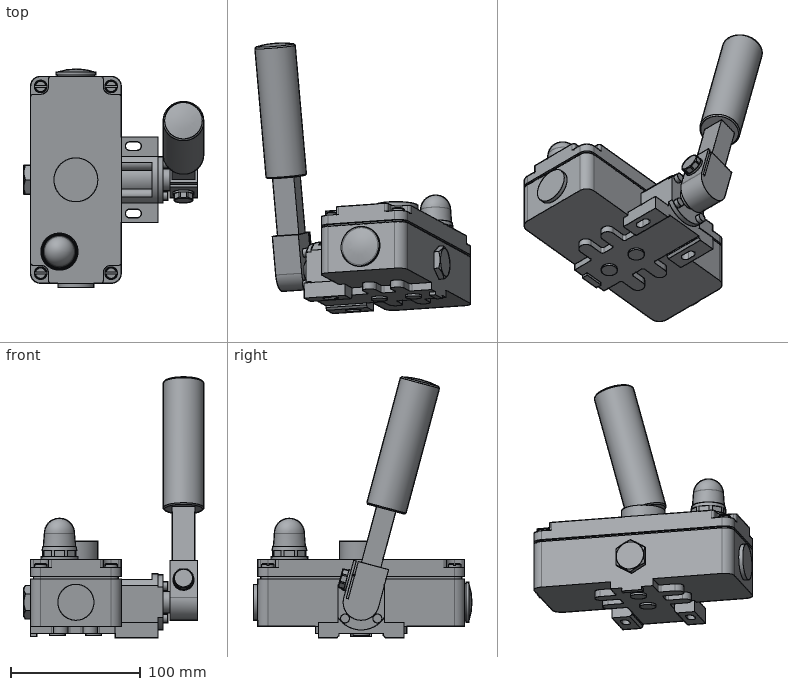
import cadquery as cq
import math

BOX_X = 70.2
BOX_Y = 159.9
CORNER_R = 7.9
BODY_H = 36.7
SEAM_H = 1.6
SEAM_INSET = 2.2
LID_H = 13.3
LID_BASE = BODY_H + SEAM_H
LID_TOP = LID_BASE + LID_H

POCKET_DEPTH = 6.2
POCKET_SIZE = 14.0
POCKET_INNER_R = 6.0
POCKET_FLARE_R = 2.2
SCREW_R = 4.8
SCREW_H = 3.0
SCREW_CHAMFER = 0.8
SCREW_SLOT_W = 1.6
SCREW_SLOT_DEPTH = 1.5

BUTTON_R = 17.0
BUTTON_H = 14.1
LAMP_X = -12.7
LAMP_Y = -55.5
LAMP_FLANGE_R = 14.3
LAMP_FLANGE_H = 2.2
LAMP_NUT_R = 13.5
LAMP_NUT_FLAT = 13.0
LAMP_NUT_H = 4.6
LAMP_COLLAR_H = 3.0
LAMP_COLLAR_TOP_R = 13.0
LENS_BASE_R = 12.5
LENS_TOP_R = 11.7
LENS_H = 10.3

AXIS_Z = 18.5
PLUG_R = 14.0
PLUG_H = 3.2
GLAND_NECK_R = 14.5
GLAND_NECK_H = 1.0
GLAND_R = 15.5
GLAND_RIM_H = 2.2
GLAND_DOME_H = 2.5
GLAND_DOME_R = 14.5
HEX_FLATS = 22.5
HEX_H = 5.2
HEX_CHAMFER = 1.5
HEX_FACE_R = 10.9

WEB_HALF_Y = 17.0
WEB_DEPTH = 5.6
KEY_HALF_Y = 8.0
KEY_LENGTH = 5.0
KEY_DEPTH = 8.0
LUG_XS = (-11.7, 11.0)
LUG_R = 5.5
LUG_REACH = 35.3
LUG_ROOT_R = 1.8
NUB_XS = (-14.3, 13.7)
NUB_R = 6.2
NUB_DEPTH = 7.3
FOOT_X0 = 30.2
FOOT_X1 = 63.5
FOOT_HALF_Y = 33.0
FOOT_TOP = 3.0
FOOT_DEPTH = 8.9
FOOT_CHAMFER = 1.8
SLOT_X = 44.3
SLOT_Y = 26.0
SLOT_LENGTH = 12.0
SLOT_W = 6.5

HOUSING_R = 22.2
HOUSING_HALF_Y = 18.0
WINDOW_HALF_Y = 14.0
WINDOW_END_X = 58.7
CORE_R = 14.5
BOSS_R = 5.2
COVER_R = 21.4
COVER_T = 3.8
HUB_R = 8.5
BOLT_R = 3.5
BOLT_H = 3.6
BOLT_OFFSET = 12.5
COVER_X1 = FOOT_X1 + COVER_T

TILT = 15.0
CLAMP_X0 = 72.5
CLAMP_X1 = 94.0
CLAMP_R = 14.0
CLAMP_H = 29.8
SLIT_W = 1.6
SLIT_Y = -11.0
LEVER_X = 83.0
LEVER_W = 17.5
LEVER_T = 15.5
GRIP_R = 15.7
GRIP_BASE = 74.4
GRIP_EDGE = 175.2
GRIP_BOTTOM_CHAMFER = 1.0
GRIP_TOP_CHAMFER = 1.2
GRIP_CROWN = 1.6
CLAMP_BOLT_H = 14.0
WASHER_R = 8.0
WASHER_T = 1.6
CLAMP_BOLT_R = 7.9
CLAMP_BOLT_FLAT = 7.5
CLAMP_BOLT_T = 4.8
CLAMP_BOLT_CHAMFER = 0.8


def block(x0, x1, y0, y1, z0, z1):
    return cq.Workplane("XY").box(x1 - x0, y1 - y0, z1 - z0, centered=False).translate((x0, y0, z0))


def cylinder_z(x, y, z, radius, height):
    return cq.Workplane("XY").center(x, y).circle(radius).extrude(height).translate((0, 0, z))


def cylinder_x(x, y, z, radius, length):
    return cq.Workplane("YZ").center(y, z).circle(radius).extrude(length).translate((x, 0, 0))


def rounded_box(inset, z, height):
    box = cq.Workplane("XY").rect(BOX_X - 2 * inset, BOX_Y - 2 * inset).extrude(height)
    return box.edges("|Z").fillet(CORNER_R - inset).translate((0, 0, z))


def octagon_nut(flat, radius, height):
    """Octagonal prism standing on Z = 0 whose corners are turned down to a cylinder."""
    prism = cq.Workplane("XY").polygon(8, 2 * flat, circumscribed=True).extrude(height)
    return prism.intersect(cylinder_z(0, 0, 0, radius, height))


def lid():
    """Lid with the four corners cut down to pockets that leave room for the screws."""
    floor = LID_TOP - POCKET_DEPTH
    in_x = BOX_X / 2 - POCKET_SIZE
    in_y = BOX_Y / 2 - POCKET_SIZE
    cross = cq.Workplane("XY").rect(BOX_X, 2 * in_y).extrude(POCKET_DEPTH)
    cross = cross.union(cq.Workplane("XY").rect(2 * in_x, BOX_Y).extrude(POCKET_DEPTH))
    inner_corners = cq.selectors.BoxSelector((-in_x - 2, -in_y - 2, -2), (in_x + 2, in_y + 2, LID_H))
    cross = cross.edges("|Z").edges("<Y or >Y or <X or >X").fillet(POCKET_FLARE_R)
    cross = cross.edges("|Z").edges(inner_corners).fillet(POCKET_INNER_R)
    return rounded_box(0, LID_BASE, floor - LID_BASE).union(cross.translate((0, 0, floor)))


def lid_screws():
    """One slotted screw head in each lid pocket, concentric with the box corner."""
    head = cylinder_z(0, 0, 0, SCREW_R, SCREW_H).faces(">Z").chamfer(SCREW_CHAMFER)
    slot = block(-SCREW_R, SCREW_R, -SCREW_SLOT_W / 2, SCREW_SLOT_W / 2, SCREW_H - SCREW_SLOT_DEPTH, SCREW_H)
    head = head.cut(slot)
    heads = cq.Workplane("XY")
    for x in (CORNER_R - BOX_X / 2, BOX_X / 2 - CORNER_R):
        for y in (CORNER_R - BOX_Y / 2, BOX_Y / 2 - CORNER_R):
            heads = heads.union(head.translate((x, y, LID_TOP - POCKET_DEPTH)))
    return heads


def lamp():
    """Signal lamp: flange, octagonal nut, tapered collar and a domed lens."""
    nut_base = LAMP_FLANGE_H
    collar_base = nut_base + LAMP_NUT_H
    lens_base = collar_base + LAMP_COLLAR_H
    dome_base = lens_base + LENS_H
    turned = (
        cq.Workplane("XZ")
        .lineTo(LAMP_FLANGE_R, 0)
        .lineTo(LAMP_FLANGE_R, nut_base)
        .lineTo(LENS_TOP_R, nut_base)
        .lineTo(LENS_TOP_R, collar_base)
        .lineTo(LAMP_NUT_R, collar_base)
        .lineTo(LAMP_COLLAR_TOP_R, lens_base)
        .lineTo(LENS_BASE_R, lens_base)
        .lineTo(LENS_TOP_R, dome_base)
        .radiusArc((0, dome_base + LENS_TOP_R), -LENS_TOP_R)
        .close()
        .revolve(360, (0, 0), (0, 1))
    )
    nut = octagon_nut(LAMP_NUT_FLAT, LAMP_NUT_R, LAMP_NUT_H).translate((0, 0, nut_base))
    return turned.union(nut).translate((LAMP_X, LAMP_Y, LID_TOP))


def enclosure():
    """Body, recessed seam, lid and the button."""
    box = rounded_box(0, 0, BODY_H).union(rounded_box(SEAM_INSET, BODY_H, SEAM_H))
    return box.union(lid()).union(lid_screws()).union(cylinder_z(0, 0, LID_TOP, BUTTON_R, BUTTON_H))


def blanking_plug():
    """Plain round plug on the -Y wall."""
    disc = cq.Workplane("XZ").circle(PLUG_R).extrude(PLUG_H)
    return disc.translate((0, -BOX_Y / 2, AXIS_Z))


def gland():
    """Necked disc with a shallow domed cap on the +Y wall."""
    rim_top = GLAND_NECK_H + GLAND_RIM_H
    top = rim_top + GLAND_DOME_H
    dome_radius = (GLAND_DOME_R**2 + GLAND_DOME_H**2) / (2 * GLAND_DOME_H)
    return (
        cq.Workplane("XY")
        .lineTo(GLAND_NECK_R, 0)
        .lineTo(GLAND_NECK_R, GLAND_NECK_H)
        .lineTo(GLAND_R, GLAND_NECK_H)
        .lineTo(GLAND_R, rim_top)
        .lineTo(GLAND_DOME_R, rim_top)
        .radiusArc((0, top), -dome_radius)
        .close()
        .revolve(360, (0, 0), (0, 1))
        .translate((0, BOX_Y / 2, AXIS_Z))
    )


def hex_plug():
    """Hexagon head on the -X wall, points up, with its outer corners turned off."""
    points_r = HEX_FLATS / math.sqrt(3)
    head = cq.Workplane("XY").polygon(6, 2 * points_r).extrude(HEX_H)
    turned = cylinder_z(0, 0, 0, points_r, HEX_H).faces(">Z").chamfer(HEX_CHAMFER, points_r - HEX_FACE_R)
    head = head.intersect(turned).rotate((0, 0, 0), (0, 1, 0), -90)
    return head.translate((-BOX_X / 2, 0, AXIS_Z))


def bottom_web():
    """Web under the box with a key at its -X end, round nubs and screw lugs on both sides."""
    left = -BOX_X / 2
    web = block(left, FOOT_X1, -WEB_HALF_Y, WEB_HALF_Y, -WEB_DEPTH, 0)
    for x in LUG_XS:
        web = web.union(block(x - LUG_R, x + LUG_R, LUG_R - LUG_REACH, LUG_REACH - LUG_R, -WEB_DEPTH, 0))
    roots = cq.selectors.BoxSelector(
        (left + 2, -WEB_HALF_Y - 0.2, -WEB_DEPTH), (FOOT_X1 - 2, WEB_HALF_Y + 0.2, 0)
    )
    web = web.edges("|Z").edges(roots).fillet(LUG_ROOT_R)
    for x in LUG_XS:
        for side in (-1, 1):
            web = web.union(cylinder_z(x, side * (LUG_REACH - LUG_R), -WEB_DEPTH, LUG_R, WEB_DEPTH))
    for x in NUB_XS:
        web = web.union(cylinder_z(x, 0, -NUB_DEPTH, NUB_R, NUB_DEPTH))
    return web.union(block(left, left + KEY_LENGTH, -KEY_HALF_Y, KEY_HALF_Y, -KEY_DEPTH, 0))


def foot(side):
    """Slotted mounting foot beside the housing; side is -1 or +1."""
    plate = block(FOOT_X0, FOOT_X1, WEB_HALF_Y, FOOT_HALF_Y, -FOOT_DEPTH, FOOT_TOP)
    plate = plate.edges("|X and <Y and <Z").chamfer(FOOT_CHAMFER)
    slot = cq.Workplane("XY").center(SLOT_X, SLOT_Y).slot2D(SLOT_LENGTH, SLOT_W).extrude(FOOT_TOP + FOOT_DEPTH)
    plate = plate.cut(slot.translate((0, 0, -FOOT_DEPTH)))
    return plate if side > 0 else plate.mirror("XZ")


def flat_sided(x0, x1, radius):
    """Cylinder about the shaft axis with both sides cut flat to the housing width."""
    sides = block(x0, x1, -HOUSING_HALF_Y, HOUSING_HALF_Y, AXIS_Z - radius, AXIS_Z + radius)
    return cylinder_x(x0, 0, AXIS_Z, radius, x1 - x0).intersect(sides)


def housing():
    """Bearing housing with a top recess that lays bare the core and bolt bosses, plus cover and hub."""
    wall_x = BOX_X / 2
    envelope = flat_sided(wall_x, FOOT_X1, HOUSING_R)
    recess_base = AXIS_Z + BOLT_OFFSET
    recess = block(wall_x, WINDOW_END_X, -WINDOW_HALF_Y, WINDOW_HALF_Y, recess_base, AXIS_Z + HOUSING_R)
    recess = recess.cut(cylinder_x(wall_x, 0, AXIS_Z, CORE_R, FOOT_X1 - wall_x))
    for y in (-BOLT_OFFSET, BOLT_OFFSET):
        recess = recess.cut(cylinder_x(wall_x, y, recess_base, BOSS_R, FOOT_X1 - wall_x))
    body = envelope.cut(recess)
    body = body.union(block(wall_x, FOOT_X1, -HOUSING_HALF_Y, HOUSING_HALF_Y, -WEB_DEPTH, AXIS_Z))
    body = body.union(flat_sided(FOOT_X1, COVER_X1, COVER_R))
    body = body.union(cylinder_x(COVER_X1, 0, AXIS_Z, HUB_R, CLAMP_X0 - COVER_X1))
    for y in (-BOLT_OFFSET, BOLT_OFFSET):
        for z in (-BOLT_OFFSET, BOLT_OFFSET):
            body = body.union(cylinder_x(COVER_X1, y, AXIS_Z + z, BOLT_R, BOLT_H))
    return body


def clamp():
    """Upright clamp block, round below the shaft axis (Z = 0 here), slit in front of the lever."""
    body = block(CLAMP_X0, CLAMP_X1, -CLAMP_R, CLAMP_R, 0, CLAMP_H)
    body = body.union(cylinder_x(CLAMP_X0, 0, 0, CLAMP_R, CLAMP_X1 - CLAMP_X0))
    return body.cut(block(CLAMP_X0, CLAMP_X1, SLIT_Y - SLIT_W / 2, SLIT_Y + SLIT_W / 2, 0, CLAMP_H))


def clamp_bolt():
    """Washer and octagonal bolt head on the -Y face of the clamp."""
    head = octagon_nut(CLAMP_BOLT_FLAT, CLAMP_BOLT_R, CLAMP_BOLT_T)
    turned = cylinder_z(0, 0, 0, CLAMP_BOLT_R, CLAMP_BOLT_T).faces(">Z").chamfer(CLAMP_BOLT_CHAMFER)
    head = head.intersect(turned).translate((0, 0, WASHER_T))
    bolt = head.union(cylinder_z(0, 0, 0, WASHER_R, WASHER_T)).rotate((0, 0, 0), (1, 0, 0), 90)
    return bolt.translate((LEVER_X, -CLAMP_R, CLAMP_BOLT_H))


def grip():
    """Round grip, chamfered at both ends and slightly crowned on top."""
    crown_r = GRIP_R - GRIP_TOP_CHAMFER
    crown_base = GRIP_EDGE + GRIP_TOP_CHAMFER
    crown_radius = (crown_r**2 + GRIP_CROWN**2) / (2 * GRIP_CROWN)
    return (
        cq.Workplane("XZ")
        .moveTo(0, GRIP_BASE)
        .lineTo(GRIP_R - GRIP_BOTTOM_CHAMFER, GRIP_BASE)
        .lineTo(GRIP_R, GRIP_BASE + GRIP_BOTTOM_CHAMFER)
        .lineTo(GRIP_R, GRIP_EDGE)
        .lineTo(crown_r, crown_base)
        .radiusArc((0, crown_base + GRIP_CROWN), -crown_radius)
        .close()
        .revolve(360, (0, 0), (0, 1))
        .translate((LEVER_X, 0, 0))
    )


def lever():
    """Clamp, bar and grip built upright on the shaft axis, then tilted toward +Y."""
    half_w = LEVER_W / 2
    half_t = LEVER_T / 2
    bar = block(LEVER_X - half_w, LEVER_X + half_w, -half_t, half_t, 0, GRIP_BASE)
    upright = clamp().union(clamp_bolt()).union(bar).union(grip())
    return upright.rotate((0, 0, 0), (1, 0, 0), -TILT).translate((0, 0, AXIS_Z))


result = enclosure()
wall_fittings = (blanking_plug(), gland(), hex_plug())
underside = (bottom_web(), foot(-1), foot(1))
for feature in (lamp(), *wall_fittings, *underside, housing(), lever()):
    result = result.union(feature)